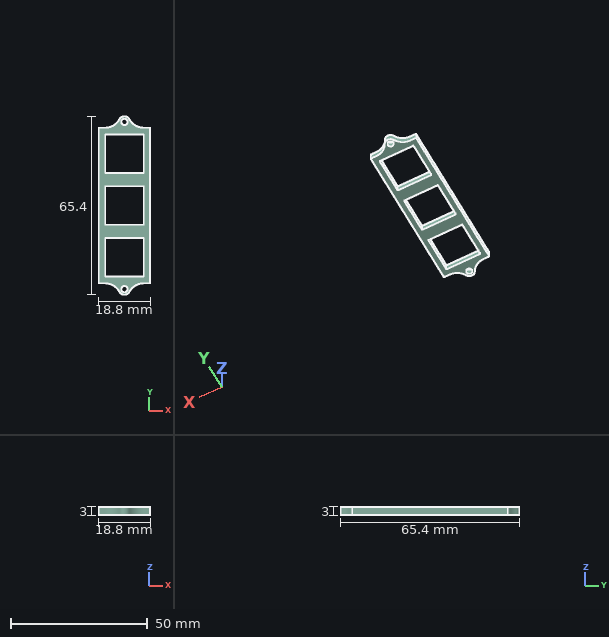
import cadquery as cq
import math

overall_length = 65.4
thickness = 3.0
frame_width = 18.8
frame_length = 57.0
window_size = 14.0
window_pitch = 18.95
window_count = 3
tip_radius = 2.1
hole_diameter = 2.2

frame_end = frame_length / 2
hole_y = overall_length / 2 - tip_radius

flare_start_x = window_size / 2
tip_rise = hole_y - frame_end
flare_radius = (flare_start_x**2 + tip_rise**2 - tip_radius**2) / (2 * (tip_rise + tip_radius))
flare_center_y = frame_end + flare_radius


def make_ear():
    """Mounting ear on the +Y end, reaching into the frame by its tip radius."""
    center_angle = math.atan2(flare_center_y - hole_y, flare_start_x)
    joint_x = tip_radius * math.cos(center_angle)
    joint_y = hole_y + tip_radius * math.sin(center_angle)

    flare_mid_angle = (3 * math.pi / 2 + math.pi + center_angle) / 2
    flare_mid_x = flare_start_x + flare_radius * math.cos(flare_mid_angle)
    flare_mid_y = flare_center_y + flare_radius * math.sin(flare_mid_angle)

    root_y = frame_end - tip_radius
    return (
        cq.Workplane("XY")
        .moveTo(-flare_start_x, root_y)
        .lineTo(flare_start_x, root_y)
        .lineTo(flare_start_x, frame_end)
        .threePointArc((flare_mid_x, flare_mid_y), (joint_x, joint_y))
        .threePointArc((0, overall_length / 2), (-joint_x, joint_y))
        .threePointArc((-flare_mid_x, flare_mid_y), (-flare_start_x, frame_end))
        .close()
        .extrude(thickness)
    )


frame = cq.Workplane("XY").rect(frame_width, frame_length).extrude(thickness)
ear = make_ear()
body = frame.union(ear).union(ear.mirror("XZ"))

windows = (
    cq.Workplane("XY")
    .rarray(frame_width, window_pitch, 1, window_count)
    .rect(window_size, window_size)
    .extrude(thickness)
)

holes = (
    cq.Workplane("XY")
    .pushPoints([(0, hole_y), (0, -hole_y)])
    .circle(hole_diameter / 2)
    .extrude(thickness)
)

result = body.cut(windows).cut(holes)